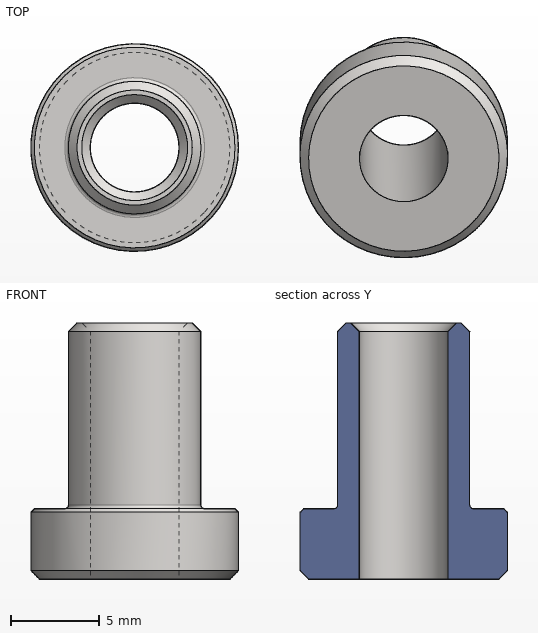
import cadquery as cq

total_height = 14.5
flange_diameter = 11.75
flange_height = 4.0
barrel_diameter = 7.5
bore_diameter = 5.0
edge_chamfer = 0.5
shoulder_break = 0.2

flange_radius = flange_diameter / 2
barrel_radius = barrel_diameter / 2
bore_radius = bore_diameter / 2


def turned_body():
    """Flanged bushing revolved from its half section about Z."""
    root_radius = barrel_radius + shoulder_break
    root_height = flange_height + shoulder_break
    half_section = (
        cq.Workplane("XZ")
        .moveTo(bore_radius, 0)
        .lineTo(flange_radius - edge_chamfer, 0)
        .lineTo(flange_radius, edge_chamfer)
        .lineTo(flange_radius, flange_height - shoulder_break)
        .lineTo(flange_radius - shoulder_break, flange_height)
        .lineTo(root_radius, flange_height)
        .radiusArc((barrel_radius, root_height), shoulder_break)
        .lineTo(barrel_radius, total_height - edge_chamfer)
        .lineTo(barrel_radius - edge_chamfer, total_height)
        .lineTo(bore_radius + edge_chamfer, total_height)
        .lineTo(bore_radius, total_height - edge_chamfer)
        .close()
    )
    return half_section.revolve(360, (0, 0, 0), (0, 1, 0))


result = turned_body()